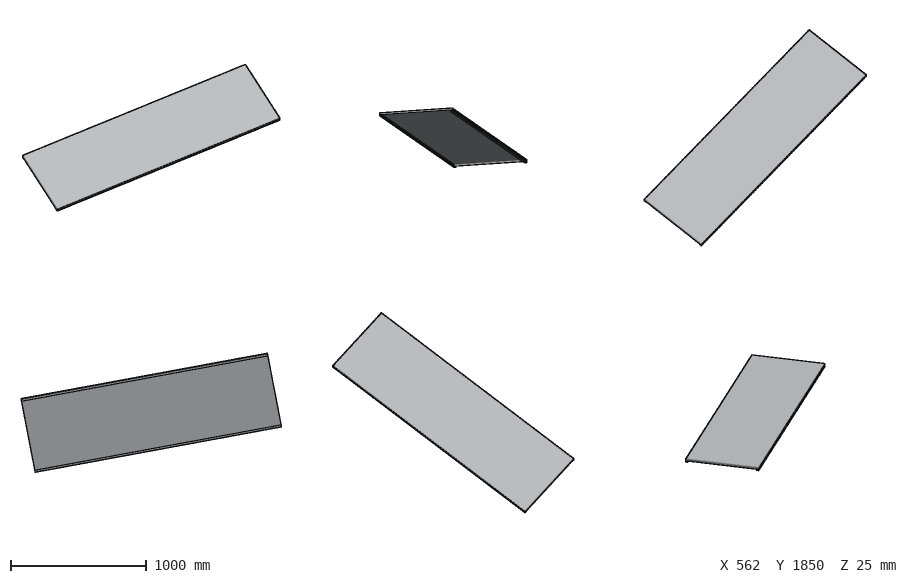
import cadquery as cq

width = 562.0
length = 1850.0
height = 25.0

sheet = 1.5
bend_radius = 2 * sheet
flange_width = 17.0
end_lip_height = 15.4

slot_count = 74
slot_pitch = length / slot_count
slot_width = 9.0
slot_height = 17.0


def rounded_block(inset):
    """Panel envelope shrunk by inset, with every fold rounded about the same bend centres."""
    radius = bend_radius - inset
    return (
        cq.Workplane("XY")
        .box(width - 2 * inset, length - 2 * inset, height - 2 * inset)
        .edges("|Y")
        .fillet(radius)
        .faces("<Y or >Y")
        .edges(">Z")
        .fillet(radius)
    )


def bottom_opening():
    """Gap between the two inward flanges along the underside."""
    return cq.Workplane("XY").box(width - 2 * flange_width, length, height / 2).translate(
        (0, 0, -height / 2)
    )


def end_openings():
    """Gaps below the two end lips, between the side walls."""
    gap_height = height - end_lip_height
    return (
        cq.Workplane("XY", origin=(0, 0, -height / 2))
        .rarray(18, length, 1, 2)
        .rect(width - 2 * sheet, 2 * sheet)
        .extrude(gap_height)
    )


def side_slots():
    """Rectangular slots through both side walls."""
    return (
        cq.Workplane("YZ")
        .rarray(slot_pitch, 18, slot_count, 1)
        .rect(slot_width, slot_height)
        .extrude(width / 2, both=True)
    )


hollow_panel = rounded_block(0).cut(rounded_block(sheet))
open_panel = hollow_panel.cut(bottom_opening()).cut(end_openings())

result = open_panel.cut(side_slots())